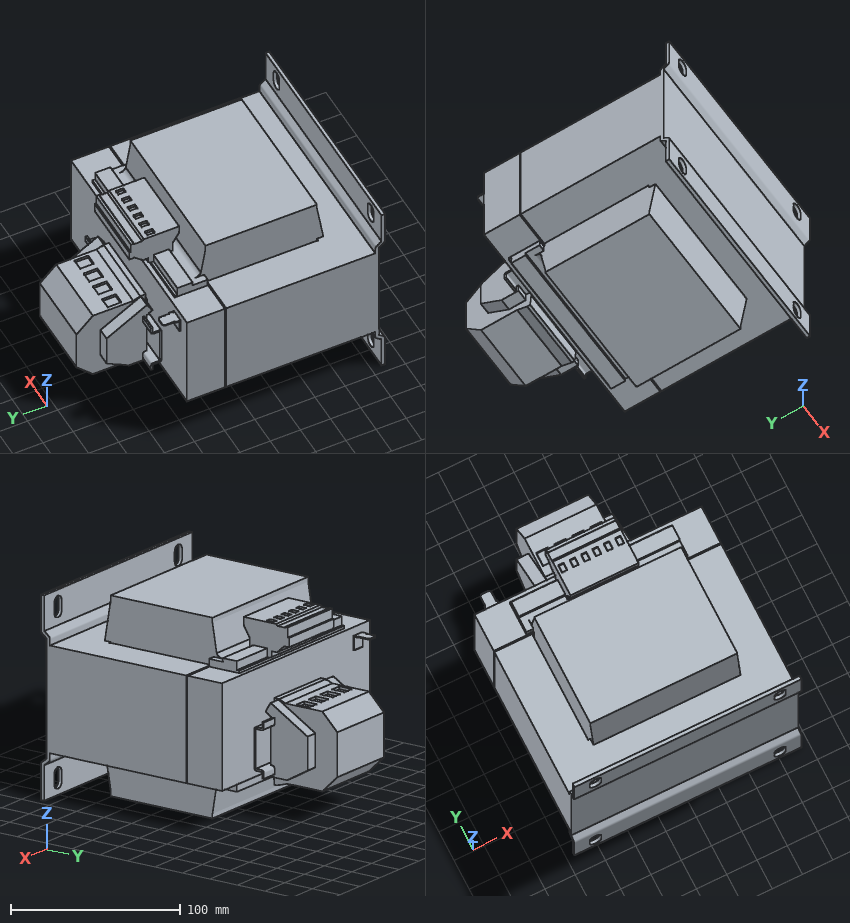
import cadquery as cq
import math


width = 150.0
plate_height = 127.5
plate_thick = 2.5
foot_offset = 4.1
web_bend_z, foot_bend_z = 37.1, 41.6
slot_spacing_x = 122.0
slot_spacing_z = 106.3
slot_length, slot_width = 13.2, 7.5

core_front = foot_offset + plate_thick
core_depth = 125.0
core_back = core_front + core_depth
core_height = 66.8
core_top = core_height / 2
window_width = 100.0
window_front, window_back = 31.8, 105.9
joint_width, joint_depth = 0.7, 0.4

coil_width = 97.2
coil_top = 62.3
coil_edge = 59.3
coil_front_low, coil_front_high = 27.5, 31.8
coil_back_low, coil_back_high = 108.8, 105.7
coil_foot_y, coil_foot_z = 113.6, 38.2
coil_fillet_start = 40.9
coil_fillet_mid = (110.5, 39.0)
bobbin_width = 106.5
bobbin_steps = [(106.6, 116.6, coil_foot_z), (116.6, 126.8, 40.5), (126.8, 128.6, 35.0)]

upper_pitch = 7.5
upper_poles = 6
upper_opening_x, upper_opening_y = 3.4, 5.0
upper_opening_centre = 127.3
upper_top = 56.8
upper_front, upper_back = 109.8, 142.9
upper_leg_front, upper_leg_back = 114.0, 130.2
upper_lip = 141.8
upper_marker_floor, upper_marker_rim = 55.7, 56.3
upper_foot_z, upper_seat_z = 34.6, 39.3
upper_seat_front = 125.0
opening_depth = 1.8

rear_back = 178.6
rear_pitch = 11.88
rear_poles = 4
rear_top, rear_bottom = 9.3, -40.4
rear_chamfer = 10.9
rear_opening_x, rear_opening_y = 7.5, 9.1
rear_opening_centre = 152.2
rear_heel_top, rear_heel_bottom = 11.0, -42.7
rear_foot_top, rear_foot_bottom = 6.0, -33.2
end_plate_width = 63.4
end_plate_front, end_plate_back = 136.0, 162.7
end_plate_bottom = -35.0

rail_length = 85.0
rail_centre_z = -15.5
rail_height = 35.0
rail_channel = 27.1
rail_sheet = 1.3
rail_depth = 7.1
rail_inner_bend, rail_outer_bend = 0.7, 1.8

tab_centre_x = -62.5
tab_sheet = 0.7
tab_top, tab_bottom = 28.0, 19.1
tab_tip, tab_shoulder = 142.7, 135.0
tab_width, tab_base_width = 7.1, 8.5
tab_tip_chamfer = 1.0


def box(x_size, y_range, z_range, x_centre=0.0):
    """A block centred at x_centre that fills the given Y and Z ranges."""
    y_low, y_high = y_range
    z_low, z_high = z_range
    block = cq.Workplane("XY").box(x_size, y_high - y_low, z_high - z_low, centered=(True, False, False))
    return block.translate((x_centre, y_low, z_low))


def side_profile(points, x_size):
    """Extrude a closed outline of (Y, Z) points evenly to both sides of X = 0."""
    return cq.Workplane("YZ").polyline(points).close().extrude(x_size / 2, both=True)


def with_mirror(body):
    """Add the copy of a body below the core's middle plane."""
    return body.union(body.mirror("XY"))


def openings(count, pitch, x_size, y_size, y_centre, top):
    """A row of rectangular openings sunk from a top face."""
    row = cq.Workplane("XY").workplane(offset=top).center(0, y_centre)
    return row.rarray(pitch, 1.8, count, 1).rect(x_size, y_size).extrude(-opening_depth)


def mounting_plate():
    half = plate_height / 2
    rise = foot_bend_z - web_bend_z
    run = foot_offset - plate_thick
    bend_angle = math.atan2(run, rise) + math.asin(plate_thick / math.hypot(run, rise))

    def on_bend(angle):
        return plate_thick * math.cos(angle), plate_thick * math.sin(angle)

    mid_y, mid_z = on_bend(bend_angle / 2)
    end_y, end_z = on_bend(bend_angle)
    upper = (
        cq.Workplane("YZ")
        .moveTo(0, half)
        .lineTo(0, foot_bend_z)
        .threePointArc((plate_thick - mid_y, foot_bend_z - mid_z), (plate_thick - end_y, foot_bend_z - end_z))
        .lineTo(foot_offset, web_bend_z)
        .lineTo(foot_offset, 0)
        .lineTo(core_front, 0)
        .lineTo(core_front, web_bend_z)
        .threePointArc((foot_offset + mid_y, web_bend_z + mid_z), (foot_offset + end_y, web_bend_z + end_z))
        .lineTo(plate_thick, foot_bend_z)
        .lineTo(plate_thick, half)
        .close()
        .extrude(width / 2, both=True)
    )
    plate = with_mirror(upper)
    slots = (
        cq.Workplane("XZ")
        .rarray(slot_spacing_x, slot_spacing_z, 2, 2)
        .slot2D(slot_length, slot_width, 90)
        .extrude(-core_front)
    )
    return plate.cut(slots)


def core():
    stack = box(width, (core_front, core_back), (-core_top, core_top))
    stack = stack.cut(box(window_width, (window_front, window_back), (-core_top, core_top)))
    joint_range = (window_back - joint_width / 2, window_back + joint_width / 2)
    groove = box(width, joint_range, (-core_top, core_top))
    groove_floor = core_top - joint_depth
    groove = groove.cut(box(width - 2 * joint_depth, joint_range, (-groove_floor, groove_floor)))
    return stack.cut(groove)


def coil():
    upper = (
        cq.Workplane("YZ")
        .moveTo(coil_front_low, 0)
        .lineTo(coil_front_low, core_top)
        .lineTo(coil_front_high, coil_edge)
        .lineTo(coil_front_high, coil_top)
        .lineTo(coil_back_high, coil_top)
        .lineTo(coil_back_high, coil_edge)
        .lineTo(coil_back_low, coil_fillet_start)
        .threePointArc(coil_fillet_mid, (coil_foot_y, coil_foot_z))
        .lineTo(coil_foot_y, 0)
        .close()
        .extrude(coil_width / 2, both=True)
    )
    return with_mirror(upper)


def bobbin_ends():
    upper = cq.Workplane("XY")
    for front, back, top in bobbin_steps:
        upper = upper.union(box(bobbin_width, (front, back), (core_top, top)))
    return with_mirror(upper)


def upper_terminals():
    outline = [
        (upper_front, upper_top),
        (133.2, upper_top),
        (134.5, upper_marker_floor),
        (139.8, upper_marker_floor),
        (139.8, upper_marker_rim),
        (upper_lip, upper_marker_rim),
        (upper_lip, 50.0),
        (upper_back, 50.0),
        (upper_back, 44.1),
        (139.3, 44.1),
        (134.0, upper_seat_z),
        (upper_leg_back, upper_seat_z),
        (upper_leg_back, 35.7),
        (128.2, upper_foot_z),
        (upper_seat_front, upper_foot_z),
        (upper_seat_front, coil_foot_z),
        (upper_leg_front, coil_foot_z),
        (upper_leg_front, 44.8),
        (upper_front, 51.5),
    ]
    body = side_profile(outline, upper_poles * upper_pitch)
    row = openings(
        upper_poles, upper_pitch, upper_opening_x, upper_opening_y, upper_opening_centre, upper_top
    )
    return body.cut(row)


def rear_terminals():
    outline = [
        (core_back, rear_foot_top),
        (132.7, rear_foot_top),
        (132.7, rear_heel_top),
        (136.3, rear_heel_top),
        (141.0, rear_top),
        (rear_back - rear_chamfer, rear_top),
        (rear_back, rear_top - rear_chamfer),
        (rear_back, rear_bottom + rear_chamfer),
        (rear_back - rear_chamfer, rear_bottom),
        (142.2, rear_bottom),
        (135.0, rear_heel_bottom),
        (132.9, rear_heel_bottom),
        (132.2, rear_foot_bottom),
        (core_back, rear_foot_bottom),
    ]
    body = side_profile(outline, rear_poles * rear_pitch)
    row = openings(rear_poles, rear_pitch, rear_opening_x, rear_opening_y, rear_opening_centre, rear_top)
    return body.cut(row)


def end_plates():
    outline = [
        (end_plate_front, 10.7),
        (end_plate_back, -5.2),
        (end_plate_back, -26.3),
        (147.9, end_plate_bottom),
        (end_plate_front, end_plate_bottom),
        (end_plate_front, 2.0),
        (133.8, 3.8),
        (132.2, 4.6),
    ]
    return side_profile(outline, end_plate_width)


def rail():
    back = core_back + rail_depth
    half_channel = rail_channel / 2
    half_height = rail_height / 2

    base = box(rail_length, (core_back, core_back + rail_sheet), (0, half_channel))
    side = box(rail_length, (core_back, back), (half_channel - rail_sheet, half_channel))
    lip = box(rail_length, (back - rail_sheet, back), (half_channel - rail_sheet, half_height))
    half_rail = base.union(side).union(lip)

    def bend_edge(y, z):
        return cq.selectors.NearestToPointSelector((0, y, z))

    half_rail = half_rail.edges(bend_edge(back - rail_sheet, half_channel)).fillet(rail_inner_bend)
    half_rail = half_rail.edges(bend_edge(back, half_channel - rail_sheet)).fillet(rail_outer_bend)
    half_rail = half_rail.edges(bend_edge(core_back, half_channel)).fillet(rail_outer_bend)
    return with_mirror(half_rail).translate((0, 0, rail_centre_z))


def earth_tab():
    base = box(tab_base_width, (core_back, core_back + tab_sheet), (tab_bottom, tab_top), tab_centre_x)
    shoulder = box(tab_base_width, (core_back, tab_shoulder), (tab_top - tab_sheet, tab_top), tab_centre_x)
    blade = box(tab_width, (core_back, tab_tip), (tab_top - tab_sheet, tab_top), tab_centre_x)
    blade = blade.edges("|Z and >Y").chamfer(tab_tip_chamfer)
    return base.union(shoulder).union(blade)


result = mounting_plate()
parts = (
    core(),
    coil(),
    bobbin_ends(),
    upper_terminals(),
    rail(),
    rear_terminals(),
    end_plates(),
    earth_tab(),
)
for part in parts:
    result = result.union(part)